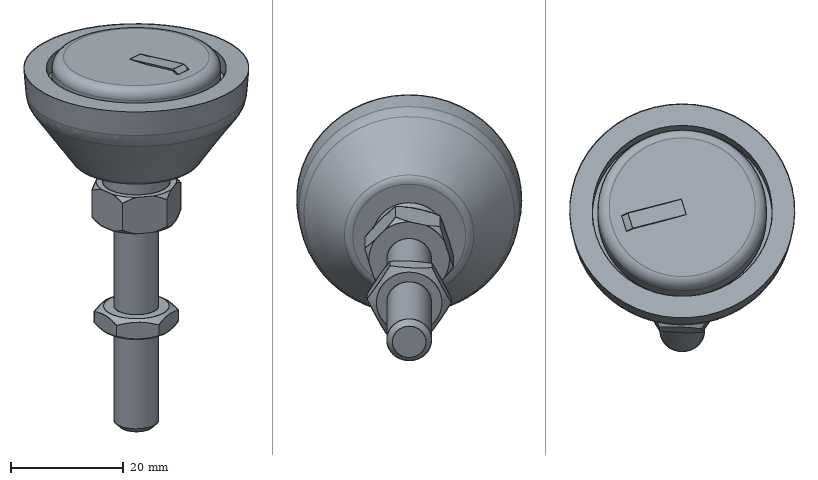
import cadquery as cq
import math

ROD_D = 8.0
TIP_CHAMFER = 1.0
NECK_D = 12.0
FLARE_R = 1.0
FLARE_TOP_D = 13.0

HEX_BOTTOM_Z = 40.0
HEX_HEIGHT = 7.05
HEX_FLATS = 14.0
HEX_FACE_D = 14.3
HEX_BEVEL_ANGLE = 45
HEX_TURN = -8.9

NUT_BOTTOM_Z = 19.05
NUT_HEIGHT = 4.0
NUT_FLATS = 13.0
NUT_FACE_D = 11.65
NUT_BEVEL_ANGLE = 30
NUT_TURN = -18.8

HOUSING_BOTTOM_Z = 51.0
HOUSING_TOP_Z = 69.1
HOUSING_TOP_D = 40.0
CONE_BOTTOM_D = 21.9
CONE_TOP_D = 39.0
CONE_TOP_Z = 62.95
RIM_FILLET = 5.0
BOTTOM_FILLET = 1.8
RECESS_D = 32.0
RECESS_DEPTH = 3.0

PAD_D = 30.0
PAD_TOP_Z = 71.15
PAD_FILLET = 2.0

TAB_TOP_Z = 71.9
TAB_START_X = -0.3
TAB_BEND_X = 9.6
TAB_END_X = 10.8
TAB_WIDTH = 3.0
TAB_THICKNESS = 0.3

RECESS_FLOOR_Z = HOUSING_TOP_Z - RECESS_DEPTH


def cylinder(diameter, bottom_z, top_z):
    return cq.Workplane("XY", origin=(0, 0, bottom_z)).circle(diameter / 2).extrude(top_z - bottom_z)


def beveled_hexagon(bottom_z, height, flats, face_d, bevel_angle, turn):
    """Hexagonal prism whose corners are cut by a cone at both ends."""
    corner_d = flats / math.cos(math.radians(30))
    prism = (
        cq.Workplane("XY")
        .polygon(6, corner_d)
        .extrude(height)
        .rotate((0, 0, 0), (0, 0, 1), turn)
    )
    envelope_r = corner_d / 2 + 0.1
    face_r = face_d / 2
    drop = (envelope_r - face_r) * math.tan(math.radians(bevel_angle))
    envelope = (
        cq.Workplane("XZ")
        .polyline([
            (0, 0),
            (face_r, 0),
            (envelope_r, drop),
            (envelope_r, height - drop),
            (face_r, height),
            (0, height),
        ])
        .close()
        .revolve(360, (0, 0, 0), (0, 1, 0))
    )
    return prism.intersect(envelope).translate((0, 0, bottom_z))


def make_stem():
    hex_top_z = HEX_BOTTOM_Z + HEX_HEIGHT
    rod = cylinder(ROD_D, 0, HEX_BOTTOM_Z).faces("<Z").chamfer(TIP_CHAMFER)
    hexagon = beveled_hexagon(
        HEX_BOTTOM_Z, HEX_HEIGHT, HEX_FLATS, HEX_FACE_D, HEX_BEVEL_ANGLE, HEX_TURN
    )
    neck = (
        cq.Workplane("XZ")
        .moveTo(0, hex_top_z)
        .lineTo(NECK_D / 2, hex_top_z)
        .lineTo(NECK_D / 2, HOUSING_BOTTOM_Z - FLARE_R)
        .radiusArc((FLARE_TOP_D / 2, HOUSING_BOTTOM_Z), FLARE_R)
        .lineTo(0, HOUSING_BOTTOM_Z)
        .close()
        .revolve(360, (0, 0, 0), (0, 1, 0))
    )
    return rod.union(hexagon).union(neck)


def make_nut():
    body = beveled_hexagon(
        NUT_BOTTOM_Z, NUT_HEIGHT, NUT_FLATS, NUT_FACE_D, NUT_BEVEL_ANGLE, NUT_TURN
    )
    return body.cut(cylinder(ROD_D, NUT_BOTTOM_Z, NUT_BOTTOM_Z + NUT_HEIGHT))


def make_housing():
    cup = (
        cq.Workplane("XZ")
        .polyline([
            (0, HOUSING_BOTTOM_Z),
            (CONE_BOTTOM_D / 2, HOUSING_BOTTOM_Z),
            (CONE_TOP_D / 2, CONE_TOP_Z),
            (HOUSING_TOP_D / 2, HOUSING_TOP_Z),
            (0, HOUSING_TOP_Z),
        ])
        .close()
        .revolve(360, (0, 0, 0), (0, 1, 0))
    )
    cup = cup.faces("<Z").edges().fillet(BOTTOM_FILLET)
    rim_corner = cq.selectors.BoxSelector(
        (-HOUSING_TOP_D, -HOUSING_TOP_D, CONE_TOP_Z - 0.1),
        (HOUSING_TOP_D, HOUSING_TOP_D, CONE_TOP_Z + 0.1),
    )
    cup = cup.edges("%CIRCLE").edges(rim_corner).fillet(RIM_FILLET)
    return cup.cut(cylinder(RECESS_D, RECESS_FLOOR_Z, HOUSING_TOP_Z))


def make_pad():
    return cylinder(PAD_D, RECESS_FLOOR_Z, PAD_TOP_Z).faces(">Z").edges().fillet(PAD_FILLET)


def make_tab():
    """Thin strip that rises from the pad and bends back down to it."""
    rise = TAB_TOP_Z - PAD_TOP_Z
    rise_slope = rise / (TAB_BEND_X - TAB_START_X)
    fall_slope = rise / (TAB_END_X - TAB_BEND_X)
    under_start_x = TAB_START_X + TAB_THICKNESS * math.hypot(1, rise_slope) / rise_slope
    under_end_x = TAB_END_X - TAB_THICKNESS * math.hypot(1, fall_slope) / fall_slope
    under_bend_x = (rise_slope * under_start_x + fall_slope * under_end_x) / (rise_slope + fall_slope)
    under_bend_z = PAD_TOP_Z + rise_slope * (under_bend_x - under_start_x)
    return (
        cq.Workplane("XZ")
        .polyline([
            (TAB_START_X, PAD_TOP_Z),
            (TAB_BEND_X, TAB_TOP_Z),
            (TAB_END_X, PAD_TOP_Z),
            (under_end_x, PAD_TOP_Z),
            (under_bend_x, under_bend_z),
            (under_start_x, PAD_TOP_Z),
        ])
        .close()
        .extrude(TAB_WIDTH / 2, both=True)
    )


stem = make_stem()
nut = make_nut()
housing = make_housing()
pad = make_pad()
tab = make_tab()

result = cq.Compound.makeCompound([stem.val(), nut.val(), housing.val(), pad.val(), tab.val()])